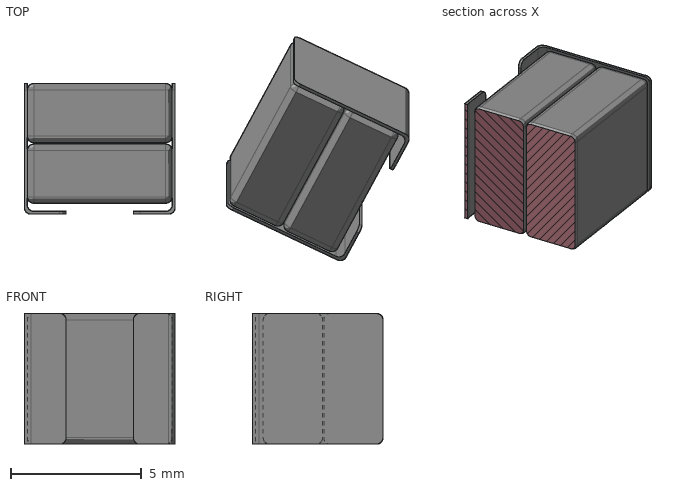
import cadquery as cq

overall_width = 5.77
overall_depth = 5.0
overall_height = 5.0

strip_thickness = 0.115
foot_length = 1.6
bend_outer_radius = 0.25
bend_inner_radius = 0.25
strip_corner_radius = 0.25

chip_count = 2
chip_gap = 0.045
chip_depth = 2.27
chip_edge_radius = 0.25
chip_width = overall_width - 2 * strip_thickness

back_y = overall_depth / 2
front_y = -overall_depth / 2
left_x = -overall_width / 2


def make_chip(center_y):
    """Rectangular chip with every edge rounded."""
    return (
        cq.Workplane("XY")
        .box(chip_width, chip_depth, overall_height)
        .edges()
        .fillet(chip_edge_radius)
        .translate((0, center_y, 0))
    )


def make_left_lead_frame():
    """L-shaped strip: an upright wall on the left end and a foot along the front."""
    outer_corner = cq.Vector(left_x, front_y)
    inner_corner = outer_corner + cq.Vector(strip_thickness, strip_thickness)
    foot_end_x = left_x + foot_length

    strip = (
        cq.Workplane("XY")
        .workplane(offset=-overall_height / 2)
        .moveTo(outer_corner.x, back_y)
        .lineTo(outer_corner.x, front_y + bend_outer_radius)
        .radiusArc((outer_corner.x + bend_outer_radius, front_y), -bend_outer_radius)
        .lineTo(foot_end_x, front_y)
        .lineTo(foot_end_x, inner_corner.y)
        .lineTo(inner_corner.x + bend_inner_radius, inner_corner.y)
        .radiusArc((inner_corner.x, inner_corner.y + bend_inner_radius), bend_inner_radius)
        .lineTo(inner_corner.x, back_y)
        .close()
        .extrude(overall_height)
    )

    wall_corners = strip.faces(">Y").edges("|X")
    foot_corners = strip.faces(">X").edges("|Y")
    return strip.newObject(wall_corners.vals() + foot_corners.vals()).fillet(strip_corner_radius)


chips = []
for index in range(chip_count):
    chip_center_y = back_y - chip_depth / 2 - index * (chip_depth + chip_gap)
    chips.append(make_chip(chip_center_y))

left_lead_frame = make_left_lead_frame()
right_lead_frame = left_lead_frame.mirror("YZ")

result = cq.Compound.makeCompound(
    [chip.val() for chip in chips] + [left_lead_frame.val(), right_lead_frame.val()]
)